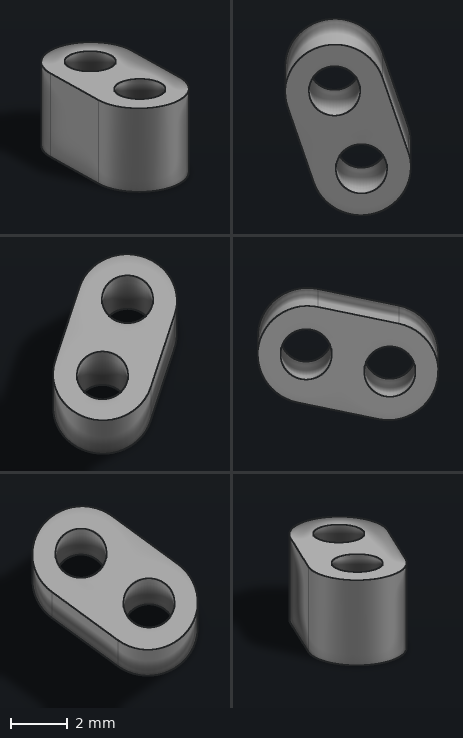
import cadquery as cq

length = 6.4
width = 3.5
height = 3.2

hole_diameter = 1.8
hole_spacing = 3.0

body = cq.Workplane("XY").slot2D(length, width).extrude(height)

hole_centres = [(-hole_spacing / 2, 0), (hole_spacing / 2, 0)]
result = body.faces(">Z").workplane().pushPoints(hole_centres).hole(hole_diameter)